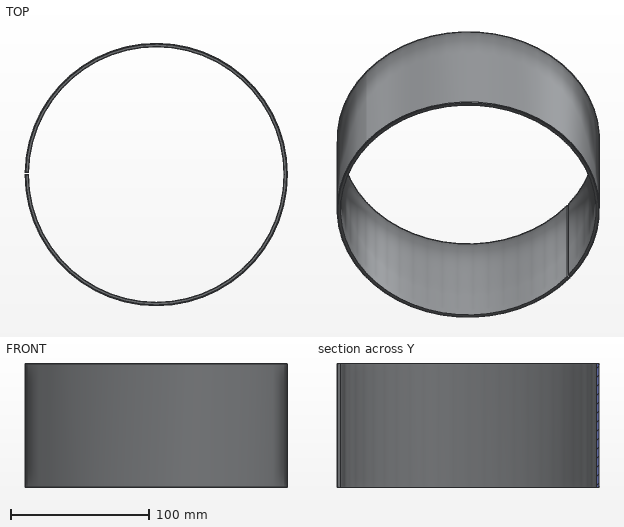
import cadquery as cq

outer_diameter = 190.0
height = 90.0
wall = 2.5
edge_chamfer = 0.5
slit_width = 1.5

outer_radius = outer_diameter / 2
inner_radius = outer_radius - wall

outer_body = (
    cq.Workplane("XY")
    .circle(outer_radius)
    .extrude(height)
    .edges("%CIRCLE")
    .chamfer(edge_chamfer)
)
bore = cq.Workplane("XY").circle(inner_radius).extrude(height)
ring = outer_body.cut(bore)

slit_depth = 4 * wall
slit = (
    cq.Workplane("XY")
    .box(slit_depth, slit_width, height, centered=(True, False, False))
    .translate((-outer_radius, 0, 0))
)

result = ring.cut(slit)